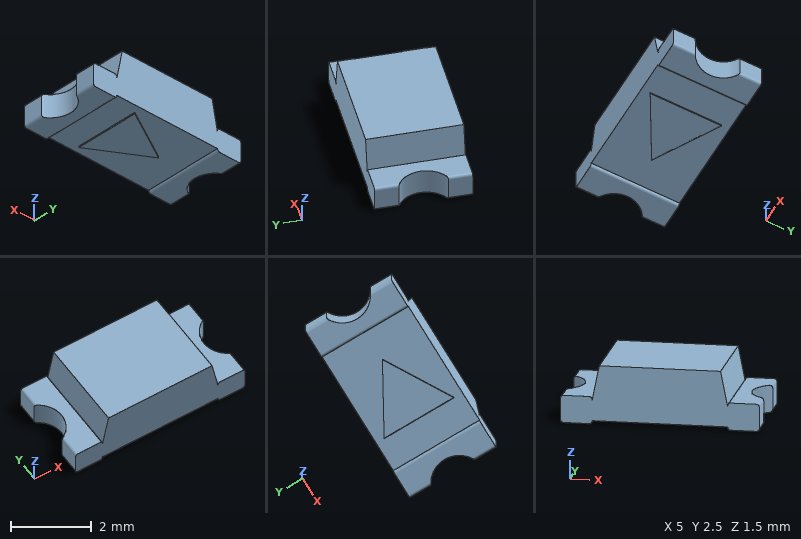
import cadquery as cq
import math
length = 5.0
width = 2.5
height = 1.5

plating = 0.08
terminal_length = 0.8
terminal_height = 0.7
edge_radius = 0.08
notch_radius = 0.7
notch_depth = 0.4

lens_top_length = 3.05

mark_length = 1.75
mark_width = 2 * mark_length / math.sqrt(3)
mark_thickness = 0.04

board_length = length - 2 * plating
board_bottom = plating
board_top = terminal_height - plating
lens_base_length = length - 2 * terminal_length


def make_board():
    return (
        cq.Workplane("XY", origin=(0, 0, board_bottom))
        .rect(board_length, width)
        .extrude(board_top - board_bottom)
    )


def make_terminal(side):
    """Rounded end block, with side = -1 or 1 along X."""
    center_x = side * (length - terminal_length) / 2
    return (
        cq.Workplane("XY", origin=(center_x, 0, 0))
        .rect(terminal_length, width)
        .extrude(terminal_height)
        .edges("|Y")
        .fillet(edge_radius)
    )


def make_notch(side):
    """Round cutter that opens one end through its full height."""
    center_x = side * (length / 2 - notch_depth + notch_radius)
    return (
        cq.Workplane("XY", origin=(center_x, 0, 0))
        .circle(notch_radius)
        .extrude(terminal_height)
    )


def make_lens():
    """Full-width block whose two ends slope inward toward the top."""
    return (
        cq.Workplane("XZ")
        .polyline([
            (-lens_base_length / 2, board_top),
            (lens_base_length / 2, board_top),
            (lens_top_length / 2, height),
            (-lens_top_length / 2, height),
        ])
        .close()
        .extrude(width / 2, both=True)
    )


def make_polarity_mark():
    """Thin equilateral triangle below the board, pointing toward -X."""
    return (
        cq.Workplane("XY", origin=(0, 0, board_bottom - mark_thickness))
        .polyline([
            (-mark_length / 2, 0),
            (mark_length / 2, -mark_width / 2),
            (mark_length / 2, mark_width / 2),
        ])
        .close()
        .extrude(mark_thickness)
    )


result = make_board().union(make_lens()).union(make_polarity_mark())
for end in (-1, 1):
    result = result.union(make_terminal(end))
for end in (-1, 1):
    result = result.cut(make_notch(end))